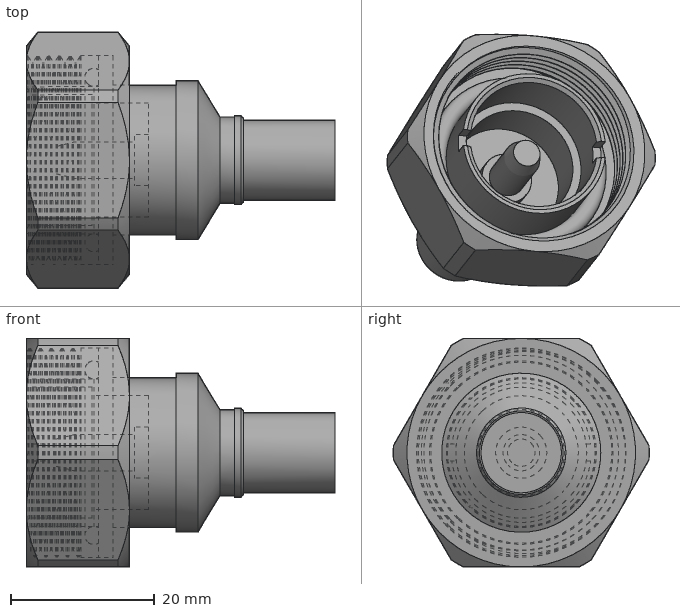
import cadquery as cq
import math


hex_across_flats = 31.75
hex_corner_diameter = 35.59
nut_length = 14.33
hex_chamfer_length = 1.6
lip_thickness = 2.3

thread_minor_radius = 13.53
thread_major_radius = 14.5
thread_pitch = 1.5
thread_start = -0.275
thread_end = 7.6
thread_runout = 1.0
thread_wall_radius = 15.0
groove_overcut = 0.1
groove_mouth_radius = thread_minor_radius - groove_overcut
groove_mouth_width = 1.48
groove_root_width = 0.2
entry_radius = 14.3
entry_length = 0.7

relief_radius = 14.55
flange_end = nut_length - lip_thickness

overall_length = 42.9
shank_radius = 10.43
collar_start = 20.8
collar_end = 23.85
collar_radius = 11.05
cone_end = 26.9
neck_radius = 6.0
bead_start = 28.9
bead_end = 30.2
bead_radius = 6.2
bead_chamfer = 0.4
tube_radius = 5.58

flange_face = 10.0
sleeve_radius = 10.25
sleeve_bore_radius = 9.1
sleeve_mouth_radius = 9.7
sleeve_mouth_chamfer = 0.4
step_depth = 9.1
inner_bore_radius = 7.93
inner_bore_depth = 17.0
slot_width = 2.36
slot_depth = 2.6

ring_section_radius = 1.25
ring_center_radius = sleeve_radius + ring_section_radius
ring_center = flange_face - ring_section_radius / 2

pin_tip = 4.15
pin_tip_radius = 1.9
pin_radius = 2.52
pin_taper_length = 2.5
pin_base_radius = 3.55
pin_base_length = 2.0


def revolved(points):
    """Turn a closed (x, radius) outline about the X axis."""
    return cq.Workplane("XY").polyline(points).close().revolve(360, (0, 0, 0), (1, 0, 0))


def hexagon_blank():
    """Hexagonal bar with flats at +Z and -Z, its corners turned down and chamfered at both ends."""
    hex_corner_to_corner = hex_across_flats / math.cos(math.pi / 6)
    bar = cq.Workplane("YZ").polygon(6, hex_corner_to_corner).extrude(nut_length)
    face_radius = hex_across_flats / 2
    corner_radius = hex_corner_diameter / 2
    turned_envelope = revolved([
        (0, 0),
        (0, face_radius),
        (hex_chamfer_length, corner_radius),
        (nut_length - hex_chamfer_length, corner_radius),
        (nut_length, face_radius),
        (nut_length, 0),
    ])
    return bar.intersect(turned_envelope)


def nut_bore():
    """Cavity for the thread, thread relief, flange seat and shank hole of the nut."""
    return revolved([
        (0, 0),
        (0, thread_wall_radius),
        (thread_end, thread_wall_radius),
        (thread_end, relief_radius),
        (flange_end, relief_radius),
        (flange_end, shank_radius),
        (nut_length, shank_radius),
        (nut_length, 0),
    ])


def thread_groove():
    """Right-hand helical groove that starts outside the mating face and runs into the relief."""
    helix = cq.Wire.makeHelix(thread_pitch, thread_end - thread_start + thread_runout, thread_minor_radius)
    profile = cq.Workplane("XZ").polyline([
        (groove_mouth_radius, -groove_mouth_width / 2),
        (thread_major_radius, -groove_root_width / 2),
        (thread_major_radius, groove_root_width / 2),
        (groove_mouth_radius, groove_mouth_width / 2),
    ]).close()
    groove = profile.sweep(cq.Workplane(helix), isFrenet=True)
    along_x = groove.rotate((0, 0, 0), (0, 1, 0), 90)
    return along_x.translate((thread_start, 0, 0))


def threaded_wall():
    """Threaded lining of the nut: grooved as an overlong tube, then trimmed to length."""
    tube_overhang = 2 * thread_runout
    tube = (
        cq.Workplane("YZ", origin=(-tube_overhang, 0, 0))
        .circle(thread_wall_radius)
        .circle(thread_minor_radius)
        .extrude(thread_end + 2 * tube_overhang)
    )
    trimmed_envelope = revolved([
        (0, entry_radius),
        (entry_length, thread_minor_radius),
        (entry_length, groove_mouth_radius),
        (thread_end, groove_mouth_radius),
        (thread_end, thread_wall_radius),
        (0, thread_wall_radius),
    ])
    return tube.cut(thread_groove()).intersect(trimmed_envelope)


def make_nut():
    return hexagon_blank().cut(nut_bore()).union(threaded_wall())


def turned_body():
    """Sleeve, flange, shank, collar, cone and tube as one turned shape with its front bores."""
    return revolved([
        (0, sleeve_mouth_radius),
        (0, sleeve_radius),
        (flange_face, sleeve_radius),
        (flange_face, relief_radius),
        (flange_end, relief_radius),
        (flange_end, shank_radius),
        (collar_start, shank_radius),
        (collar_start, collar_radius),
        (collar_end, collar_radius),
        (cone_end, neck_radius),
        (bead_start, neck_radius),
        (bead_start, bead_radius),
        (bead_end - bead_chamfer, bead_radius),
        (bead_end, bead_radius - bead_chamfer),
        (bead_end, tube_radius),
        (overall_length, tube_radius),
        (overall_length, 0),
        (inner_bore_depth, 0),
        (inner_bore_depth, inner_bore_radius),
        (step_depth, inner_bore_radius),
        (step_depth, sleeve_bore_radius),
        (sleeve_mouth_chamfer, sleeve_bore_radius),
    ])


def sleeve_slots():
    """One slot across the mouth of the sleeve, cutting its wall at +Y and -Y."""
    return cq.Workplane("XY").box(
        slot_depth, 2 * ring_center_radius, slot_width, centered=(False, True, True)
    )


def sealing_ring():
    """Round-section ring that lies around the sleeve on the flange face."""
    return (
        cq.Workplane("XY")
        .center(ring_center, ring_center_radius)
        .circle(ring_section_radius)
        .revolve(360, (0, -ring_center_radius, 0), (1, -ring_center_radius, 0))
    )


def center_pin():
    """Tapered contact standing on a wider base at the bottom of the bore."""
    base_start = inner_bore_depth - pin_base_length
    return revolved([
        (pin_tip, 0),
        (pin_tip, pin_tip_radius),
        (pin_tip + pin_taper_length, pin_radius),
        (base_start, pin_radius),
        (base_start, pin_base_radius),
        (inner_bore_depth, pin_base_radius),
        (inner_bore_depth, 0),
    ])


def make_body():
    return turned_body().cut(sleeve_slots()).union(sealing_ring()).union(center_pin())


nut = make_nut()
body = make_body()

result = cq.Compound.makeCompound([nut.val(), body.val()])